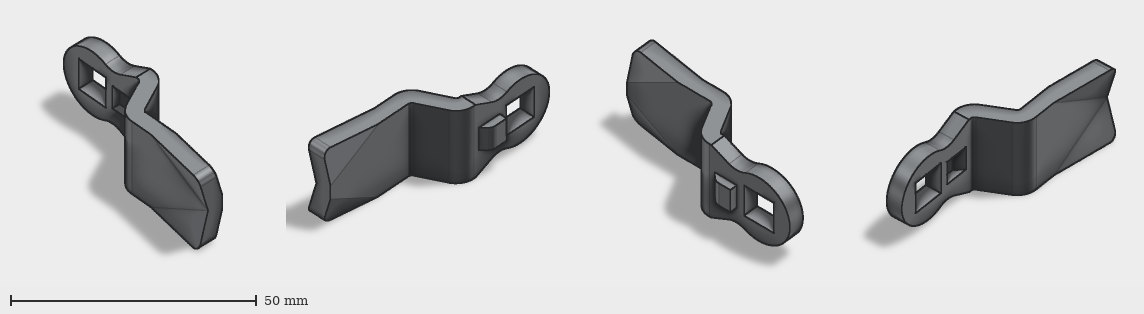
import cadquery as cq
import math


thickness = 4.0
width = 19.5
half_width = width / 2
tip_x = 45.0
tip_corner_radius = 2.0

offset = 10.0
bend_angle = math.radians(63)
inner_radius = 1.0
outer_radius = inner_radius + thickness
first_bend_x = 13.55

hub_radius = 8.5
neck_radius = 5.0
neck_x = 6.1
shoulder_x = 13.0
square_hole = 8.1

stop_height = 2.0
stop_width = 6.0
stop_start_x = 6.0
stop_ramp_x = 10.0
stop_end_x = 12.1
boss_crest_radius = 2.0

front_fold_x = 28.0
back_fold_x = 31.2
fold_apex_x = 44.9
fold_slope = 0.157

wing_back_y = thickness - offset
wing_front_y = -offset


def polar(center, radius, angle):
    """Point on a circle at an angle from the first axis."""
    return (
        center[0] + radius * math.cos(angle),
        center[1] + radius * math.sin(angle),
    )


def make_strip():
    """Bent strip of constant thickness, with plain square ends."""
    web_drop = offset - (inner_radius + outer_radius) * (1 - math.cos(bend_angle))
    web_length = web_drop / math.sin(bend_angle)
    second_bend_x = (
        first_bend_x
        + (inner_radius + outer_radius) * math.sin(bend_angle)
        + web_length * math.cos(bend_angle)
    )
    first = (first_bend_x, -inner_radius)
    second = (second_bend_x, wing_back_y + inner_radius)
    up = math.pi / 2
    first_end = up - bend_angle
    first_mid = up - bend_angle / 2
    second_start = -up - bend_angle
    second_mid = -up - bend_angle / 2
    profile = (
        cq.Workplane("XY")
        .moveTo(-hub_radius, thickness)
        .lineTo(first_bend_x, thickness)
        .threePointArc(polar(first, outer_radius, first_mid), polar(first, outer_radius, first_end))
        .lineTo(*polar(second, inner_radius, second_start))
        .threePointArc(polar(second, inner_radius, second_mid), (second_bend_x, wing_back_y))
        .lineTo(tip_x, wing_back_y)
        .lineTo(tip_x, wing_front_y)
        .lineTo(second_bend_x, wing_front_y)
        .threePointArc(polar(second, outer_radius, second_mid), polar(second, outer_radius, second_start))
        .lineTo(*polar(first, inner_radius, first_end))
        .threePointArc(polar(first, inner_radius, first_mid), (first_bend_x, 0))
        .lineTo(-hub_radius, 0)
        .close()
    )
    return profile.extrude(half_width, both=True)


def corner_wedge(fold_x, face_y, side):
    """Tetrahedron between a wing face and the plane folded down from it.

    The fold line starts on the long edge at fold_x; side is +1 or -1 along Z.
    The wedge overruns the strip, which is trimmed to its outline afterwards.
    """
    fold_run = (fold_apex_x - front_fold_x) / half_width
    reach_x = 2 * tip_x
    reach = reach_x - fold_x
    edge_z = side * half_width
    inner_z = side * (half_width - reach / fold_run)
    drop_y = face_y - fold_slope * reach
    start = cq.Vector(fold_x, face_y, edge_z)
    inner = cq.Vector(reach_x, face_y, inner_z)
    outer = cq.Vector(reach_x, face_y, edge_z)
    low = cq.Vector(reach_x, drop_y, edge_z)
    triangles = [
        (start, inner, outer),
        (start, inner, low),
        (start, outer, low),
        (inner, outer, low),
    ]
    faces = [cq.Face.makeFromWires(cq.Wire.makePolygon(list(t), close=True)) for t in triangles]
    return cq.Workplane(cq.Solid.makeSolid(cq.Shell.makeShell(faces)))


def fold_corners(body):
    """Push both wing corners towards -Y about slanting fold lines."""
    upper_half = cq.Workplane("XY").box(tip_x, 4 * offset, half_width, centered=(False, True, False))
    for side in (1, -1):
        half = upper_half if side == 1 else upper_half.mirror("XY")
        body = body.union(corner_wedge(front_fold_x, wing_front_y, side).intersect(half))
        body = body.cut(corner_wedge(back_fold_x, wing_back_y, side).intersect(half))
    return body


def make_outline():
    """Outline of the lever in the XZ plane, as a prism through all Y."""
    neck_distance = hub_radius + neck_radius
    neck_z = math.sqrt(neck_distance**2 - neck_x**2)
    hub_tangent = (neck_x * hub_radius / neck_distance, neck_z * hub_radius / neck_distance)
    run = shoulder_x - neck_x
    rise = half_width - neck_z
    corner_angle = math.acos(neck_radius / math.hypot(run, rise))
    flank_angle = math.atan2(rise, run) - corner_angle
    flank_tangent = polar((neck_x, neck_z), neck_radius, flank_angle)
    neck_bottom = (neck_x, neck_z - neck_radius)
    corner_x = tip_x - tip_corner_radius
    corner_z = half_width - tip_corner_radius
    corner_mid = polar((corner_x, corner_z), tip_corner_radius, math.pi / 4)

    def below(point):
        return (point[0], -point[1])

    outline = (
        cq.Workplane("XZ")
        .moveTo(*below(hub_tangent))
        .threePointArc((-hub_radius, 0), hub_tangent)
        .threePointArc(neck_bottom, flank_tangent)
        .lineTo(shoulder_x, half_width)
        .lineTo(corner_x, half_width)
        .threePointArc(corner_mid, (tip_x, corner_z))
        .lineTo(tip_x, -corner_z)
        .threePointArc(below(corner_mid), (corner_x, -half_width))
        .lineTo(shoulder_x, -half_width)
        .lineTo(*below(flank_tangent))
        .threePointArc(below(neck_bottom), below(hub_tangent))
        .close()
    )
    return outline.extrude(2 * offset, both=True)


def ramped_block(base_y):
    """Block rising from base_y by the stop height, with a ramp on its +X end."""
    top_y = base_y + stop_height
    return (
        cq.Workplane("XY")
        .moveTo(stop_start_x, base_y)
        .lineTo(stop_start_x, top_y)
        .lineTo(stop_ramp_x, top_y)
        .lineTo(stop_end_x, base_y)
        .close()
        .extrude(stop_width / 2, both=True)
    )


def make_boss():
    """Stop on the back face, rounded where its top meets the ramp."""
    block = ramped_block(thickness)
    crest = cq.selectors.NearestToPointSelector((stop_ramp_x, thickness + stop_height, 0))
    return block.edges("|Z").edges(crest).fillet(boss_crest_radius)


def make_lever():
    body = fold_corners(make_strip()).intersect(make_outline())
    body = body.union(make_boss())
    body = body.cut(ramped_block(0))
    return body.cut(cq.Workplane("XY").box(square_hole, 4 * thickness, square_hole))


result = make_lever()